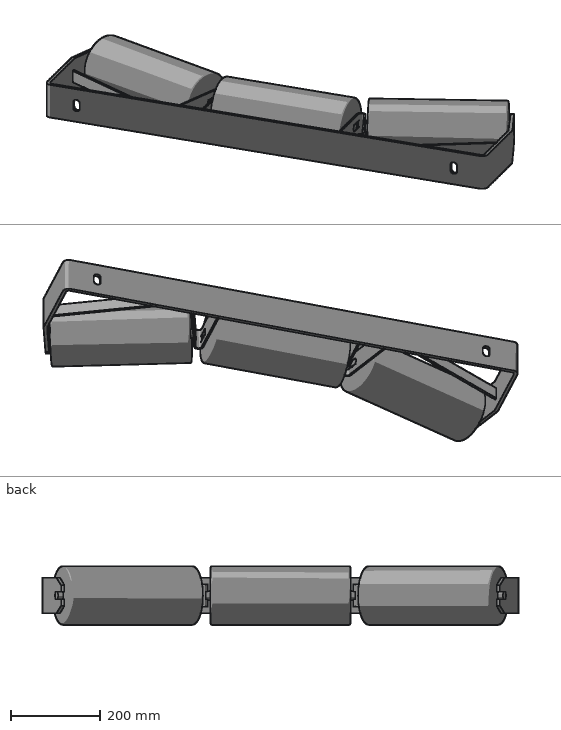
import cadquery as cq
import math

frame_length = 1070.0
frame_height = 80.0
strip_thickness = 8.0
corner_radius = 14.0
wall_bend_radius = 12.0
wall_bend_y = 159.0
lean_angle = 20.0
arm_length = 123.0
arm_tip_height = 46.0
arm_taper_length = 30.0

mount_slot_x = 458.0
mount_slot_width = 16.0
mount_slot_height = 28.0

brace_thickness = 5.9
brace_height = 28.0
brace_foot_x = 242.0
brace_top_y = 153.0

support_thickness = 4.0
support_height = 50.0
support_inner_x = 164.0
fold_radius = 11.0

roller_diameter = 133.0
roller_length = 315.0
roller_edge_radius = 4.0
shaft_diameter = 20.0
shaft_flat_width = 16.0
middle_roller_y = 125.0
side_shaft_seat = 93.0
outer_end_gap = 4.7
inner_end_gap = support_inner_x - roller_length / 2
support_slot_length = 54.0

half_length = frame_length / 2
lean = math.radians(lean_angle)
along_arm = cq.Vector(math.sin(lean), math.cos(lean), 0)
along_axis = cq.Vector(math.cos(lean), -math.sin(lean), 0)
along_x = cq.Vector(1, 0, 0)
up = cq.Vector(0, 0, 1)

wall_bend = cq.Vector(-half_length, wall_bend_y, 0)
arm_tip = wall_bend + along_arm * arm_length
side_shaft_start = wall_bend + along_arm * side_shaft_seat
support_outer_distance = strip_thickness + outer_end_gap + roller_length + inner_end_gap
support_outer_point = side_shaft_start + along_axis * support_outer_distance
middle_shaft_start = cq.Vector(-support_inner_x - support_thickness, middle_roller_y, 0)


def mirrored_pair(left):
    """The left shape joined with its mirror image on the right."""
    return left.union(left.mirror("YZ"))


def mirror_point(point):
    return cq.Vector(-point.x, point.y, 0)


def centred_prism(outline, height):
    """Outline in the XY plane extruded to a height centred on Z = 0."""
    points = [(p.x, p.y) for p in outline]
    return cq.Workplane("XY").polyline(points).close().extrude(height / 2, both=True)


def round_upright_edge(body, point, radius):
    """Round the Z-parallel edge nearest to a point."""
    nearest = cq.NearestToPointSelector((point.x, point.y, 0))
    return body.edges("|Z").edges(nearest).fillet(radius)


def shaft_plane(start, axis):
    """Plane across a shaft, with its local X pointing along the slot towards +Y."""
    return cq.Plane(origin=start, xDir=up.cross(axis), normal=axis)


def make_strip():
    """U-shaped strip: back, two end walls and their leaning arms."""
    inner_bend = wall_bend + cq.Vector(1, -math.tan(lean / 2), 0) * strip_thickness
    inner_tip = arm_tip + along_axis * strip_thickness
    outer_corner = cq.Vector(-half_length, 0, 0)
    inner_corner = outer_corner + cq.Vector(strip_thickness, strip_thickness, 0)
    left = [outer_corner, wall_bend, arm_tip, inner_tip, inner_bend, inner_corner]
    right = [mirror_point(p) for p in reversed(left)]
    strip = centred_prism(left + right, frame_height)

    for point, radius in [
        (outer_corner, corner_radius),
        (inner_corner, corner_radius - strip_thickness),
        (wall_bend, wall_bend_radius),
        (inner_bend, wall_bend_radius - strip_thickness),
    ]:
        strip = round_upright_edge(strip, point, radius)
        strip = round_upright_edge(strip, mirror_point(point), radius)
    return strip


def make_arm_taper(side):
    """Wedges cut off both arm tips, at the top for side 1 and at the bottom for side -1."""
    plane = cq.Plane(origin=arm_tip, xDir=along_arm, normal=along_axis)
    wedge = (
        cq.Workplane(plane)
        .moveTo(0, side * arm_tip_height / 2)
        .lineTo(0, side * frame_height / 2)
        .lineTo(-arm_taper_length, side * frame_height / 2)
        .close()
        .extrude(strip_thickness)
    )
    return mirrored_pair(wedge)


def make_mount_slots():
    return (
        cq.Workplane("XZ")
        .pushPoints([(-mount_slot_x, 0), (mount_slot_x, 0)])
        .slot2D(mount_slot_height, mount_slot_width, 90)
        .extrude(-strip_thickness)
    )


def make_braces():
    """Diagonal bars from the frame's back to the end walls."""
    foot = cq.Vector(-brace_foot_x, strip_thickness, 0)
    top = cq.Vector(strip_thickness - half_length, brace_top_y, 0)
    slope = math.atan2(top.y - foot.y, foot.x - top.x)
    lower_foot = foot - cq.Vector(brace_thickness / math.sin(slope), 0, 0)
    lower_top = top - cq.Vector(0, brace_thickness / math.cos(slope), 0)
    return mirrored_pair(centred_prism([foot, top, lower_top, lower_foot], brace_height))


def make_fold_prism(offset):
    """Round-topped wedge bounded by the support's faces, moved inwards by an offset."""
    inner_x = -support_inner_x - offset
    outer = support_outer_point + along_axis * offset
    apex = cq.Vector(inner_x, outer.y + (inner_x - outer.x) / math.tan(lean), 0)
    outer_foot_x = inner_x - (apex.y - strip_thickness) * math.tan(lean)
    feet = [cq.Vector(x, strip_thickness, 0) for x in (outer_foot_x, inner_x)]
    return round_upright_edge(centred_prism(feet + [apex], support_height), apex, fold_radius - offset)


def make_supports():
    """Folded plates with one upright leg and one leg leaning with the side roller."""
    return mirrored_pair(make_fold_prism(0).cut(make_fold_prism(support_thickness)))


def make_shaft_slots(start, axis, depth, length):
    """Slots open towards +Y, with a round seat, running a depth along the shaft axis."""
    plane = shaft_plane(start, axis)
    seat = cq.Workplane(plane).circle(shaft_diameter / 2).extrude(depth)
    flats = cq.Workplane(plane).rect(2 * length, shaft_flat_width).extrude(depth)
    channel = cq.Workplane(plane).center(length / 2, 0).rect(length, shaft_flat_width).extrude(depth)
    return mirrored_pair(seat.intersect(flats).union(channel))


def make_frame():
    """Strip, braces and supports as one welded body, with all its slots."""
    frame = make_strip().cut(make_mount_slots())
    for side in (1, -1):
        frame = frame.cut(make_arm_taper(side))
    frame = frame.union(make_braces()).union(make_supports())
    for start, axis, depth, length in [
        (side_shaft_start, along_axis, strip_thickness, arm_length),
        (support_outer_point, along_axis, support_thickness, support_slot_length),
        (middle_shaft_start, along_x, support_thickness, support_slot_length),
    ]:
        frame = frame.cut(make_shaft_slots(start, axis, depth, length))
    return frame


def make_roller(start, axis, first_end, first_gap):
    """Roller with a round shaft whose flattened ends fill the shaft slots."""
    plane = shaft_plane(start, axis)
    round_length = first_gap + roller_length + inner_end_gap
    full_length = first_end + round_length + support_thickness
    flats = cq.Workplane(plane).rect(shaft_diameter, shaft_flat_width).extrude(full_length)
    flat_shaft = cq.Workplane(plane).circle(shaft_diameter / 2).extrude(full_length).intersect(flats)
    round_shaft = (
        cq.Workplane(plane)
        .workplane(offset=first_end)
        .circle(shaft_diameter / 2)
        .extrude(round_length)
    )
    drum = (
        cq.Workplane(plane)
        .workplane(offset=first_end + first_gap)
        .circle(roller_diameter / 2)
        .extrude(roller_length)
        .edges()
        .fillet(roller_edge_radius)
    )
    return drum.union(round_shaft).union(flat_shaft)


frame = make_frame()
left_roller = make_roller(side_shaft_start, along_axis, strip_thickness, outer_end_gap)
middle_roller = make_roller(middle_shaft_start, along_x, support_thickness, inner_end_gap)
right_roller = left_roller.mirror("YZ")
rollers = [left_roller, middle_roller, right_roller]

result = cq.Compound.makeCompound([frame.val(), *[roller.val() for roller in rollers]])